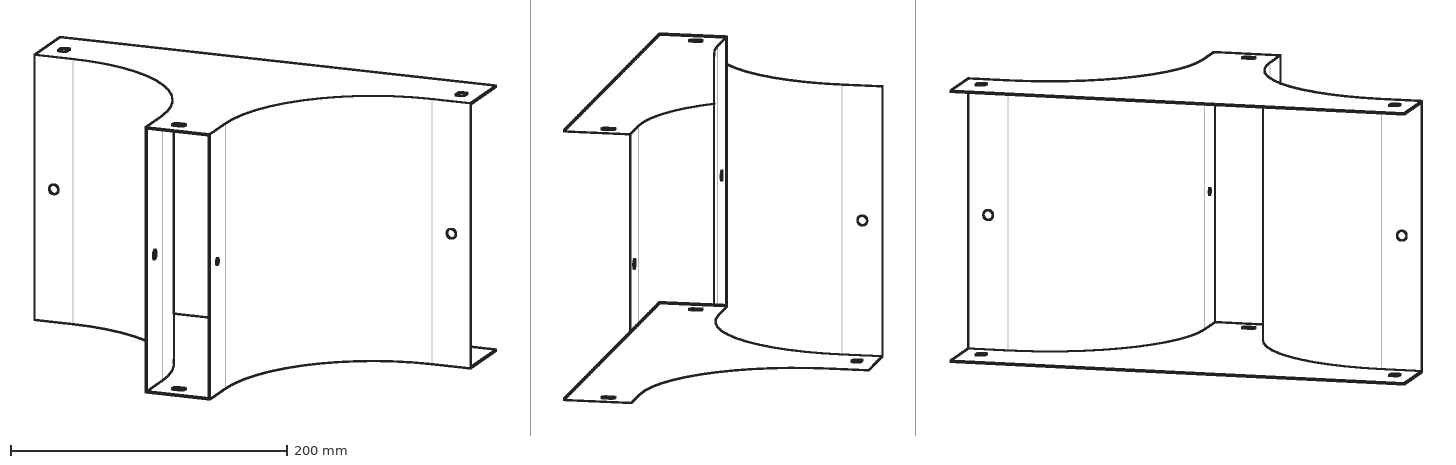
import cadquery as cq

width = 340.0
depth = 195.0
height = 200.0
sheet = 1.0

branch_width = 50.0
straight_length = 30.0
half_width = width / 2
half_branch = branch_width / 2
back_y = depth / 2
front_y = -depth / 2
arm_front_y = back_y - branch_width
bend_radius = half_width - straight_length - half_branch
stem_bend_y = arm_front_y - bend_radius

hole_diameter = 7.0
small_hole_diameter = 5.0
slot_width = 7.0
slot_length = 9.5
slot_corner_radius = 2.5
end_distance = 15.0
slot_back_distance = 30.0
stem_slot_x = -5.0


def tee_plate(bottom_z):
    """Flat tee with concave quarter-circle corners between the arms and the stem."""
    diagonal = bend_radius * 0.5 ** 0.5
    center_x = half_branch + bend_radius
    center_y = stem_bend_y
    return (
        cq.Workplane("XY", origin=(0, 0, bottom_z))
        .moveTo(-half_width, back_y)
        .lineTo(half_width, back_y)
        .lineTo(half_width, arm_front_y)
        .lineTo(center_x, arm_front_y)
        .threePointArc((center_x - diagonal, center_y + diagonal), (half_branch, stem_bend_y))
        .lineTo(half_branch, front_y)
        .lineTo(-half_branch, front_y)
        .lineTo(-half_branch, stem_bend_y)
        .threePointArc((-center_x + diagonal, center_y + diagonal), (-center_x, arm_front_y))
        .lineTo(-half_width, arm_front_y)
        .close()
        .extrude(sheet)
    )


def curved_wall():
    """Right-hand side wall: along the arm, round the bend and along the stem."""
    center_x = half_branch + bend_radius
    inner_radius = bend_radius + sheet
    outer_diagonal = bend_radius * 0.5 ** 0.5
    inner_diagonal = inner_radius * 0.5 ** 0.5
    return (
        cq.Workplane("XY", origin=(0, 0, -height / 2))
        .moveTo(half_width, arm_front_y)
        .lineTo(center_x, arm_front_y)
        .threePointArc(
            (center_x - outer_diagonal, stem_bend_y + outer_diagonal), (half_branch, stem_bend_y)
        )
        .lineTo(half_branch, front_y)
        .lineTo(half_branch - sheet, front_y)
        .lineTo(half_branch - sheet, stem_bend_y)
        .threePointArc(
            (center_x - inner_diagonal, stem_bend_y + inner_diagonal), (center_x, arm_front_y + sheet)
        )
        .lineTo(half_width, arm_front_y + sheet)
        .close()
        .extrude(height)
    )


def plate_slot(x, y, size_x, size_y):
    """Rounded rectangular cutter through both plates."""
    return (
        cq.Workplane("XY")
        .center(x, y)
        .rect(size_x, size_y)
        .extrude(height, both=True)
        .edges("|Z")
        .fillet(slot_corner_radius)
    )


arm_hole_x = half_width - end_distance
stem_hole_y = front_y + end_distance
slot_y = back_y - slot_back_distance

right_wall = curved_wall()
result = (
    tee_plate(height / 2 - sheet)
    .union(tee_plate(-height / 2))
    .union(right_wall)
    .union(right_wall.mirror("YZ"))
)

for side in (-1, 1):
    result = result.cut(plate_slot(side * arm_hole_x, slot_y, slot_width, slot_length))
result = result.cut(plate_slot(stem_slot_x, stem_hole_y, slot_length, slot_width))

arm_holes = (
    cq.Workplane("XZ")
    .pushPoints([(-arm_hole_x, 0), (arm_hole_x, 0)])
    .circle(hole_diameter / 2)
    .extrude(depth, both=True)
)
result = result.cut(arm_holes)

for direction, diameter in ((-1, hole_diameter), (1, small_hole_diameter)):
    stem_hole = (
        cq.Workplane("YZ")
        .center(stem_hole_y, 0)
        .circle(diameter / 2)
        .extrude(direction * branch_width)
    )
    result = result.cut(stem_hole)